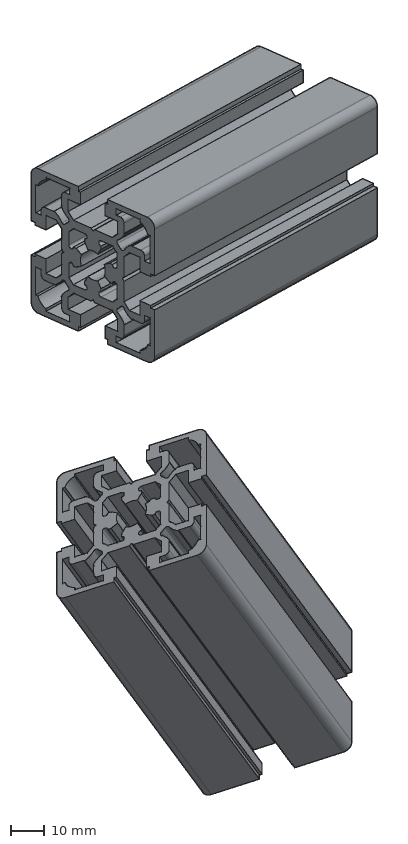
import cadquery as cq
import math

SIDE = 50.0
LENGTH = 100.0
CORNER_RADIUS = 3.0
HALF = SIDE / 2

COS_45 = math.sqrt(0.5)

SLOT_MOUTH_HALF = 5.9
SLOT_MOUTH_DEPTH = 1.6
NECK_HALF = 5.0
LIP_DEPTH = 6.0
GROOVE_HALF = 10.0
FLOOR_HEIGHT = 12.6
GROOVE_CHAMFER = 2.2
NOTCH_DEPTH = 0.7

CORE_HALF = 9.7
CORE_CHAMFER = 1.8
BORE_RADIUS = 5.0
LUG_TIP_HALF = 2.0
LUG_HALF = 3.3
LUG_SHOULDER_HEIGHT = 6.8
RELIEF_RADIUS = 0.9

WALL = 1.9
LIP_ROOT_HALF = 9.4
LIP_ROOT_HEIGHT = 20.9
GROOVE_WALL = 2.6
SHOULDER_RADIUS = 1.5
FILLING_EDGE = 19.0
FILLING_STEP = 0.9
FILLING_RADIUS = 5.0

CHANNEL_MOUTH_PLACE = 20.1
CHANNEL_MOUTH_HALF_WIDTH = 2.0
CREST_PLACE = 17.6
CREST_HALF_WIDTH = 1.6
CHANNEL_FLOOR_HALF_WIDTH = 1.8
CHANNEL_FLOOR_PLACE = 15.0
CHANNEL_FLOOR_FILLET = 0.8


def spin(solid, count=4):
    """Return copies of a solid turned evenly about the profile axis."""
    return [solid.rotate((0, 0, 0), (0, 1, 0), i * 360 / count) for i in range(count)]


def sketch_plane():
    """Plane with local x along X and local y along Z; extrusions run toward -Y."""
    return cq.Workplane("XZ", origin=(0, LENGTH / 2, 0))


def make_bar():
    """Solid square bar with rounded long edges."""
    return sketch_plane().rect(SIDE, SIDE).extrude(LENGTH).edges("|Y").fillet(CORNER_RADIUS)


def make_slot():
    """Cutter for the T-slot in the +Z side, with a V notch along its floor."""
    half_outline = [
        (SLOT_MOUTH_HALF, HALF),
        (SLOT_MOUTH_HALF, HALF - SLOT_MOUTH_DEPTH),
        (NECK_HALF, HALF - SLOT_MOUTH_DEPTH),
        (NECK_HALF, HALF - LIP_DEPTH),
        (GROOVE_HALF, HALF - LIP_DEPTH),
        (GROOVE_HALF, FLOOR_HEIGHT + GROOVE_CHAMFER),
        (GROOVE_HALF - GROOVE_CHAMFER, FLOOR_HEIGHT),
        (NOTCH_DEPTH, FLOOR_HEIGHT),
    ]
    mirrored = [(-x, z) for x, z in reversed(half_outline)]
    outline = half_outline + [(0, FLOOR_HEIGHT - NOTCH_DEPTH)] + mirrored
    return sketch_plane().polyline(outline).close().extrude(LENGTH)


def make_lug():
    """Screw lug hanging from the +Z wall of the core, ending on the bore circle."""
    tip_height = math.sqrt(BORE_RADIUS**2 - LUG_TIP_HALF**2)
    relief_height = CORE_HALF - RELIEF_RADIUS
    relief_bottom = CORE_HALF - 2 * RELIEF_RADIUS
    relief_inner = LUG_HALF - RELIEF_RADIUS
    return (
        sketch_plane()
        .moveTo(-LUG_HALF, CORE_HALF)
        .threePointArc((-relief_inner, relief_height), (-LUG_HALF, relief_bottom))
        .lineTo(-LUG_HALF, LUG_SHOULDER_HEIGHT)
        .lineTo(-LUG_TIP_HALF, tip_height)
        .threePointArc((0, BORE_RADIUS), (LUG_TIP_HALF, tip_height))
        .lineTo(LUG_HALF, LUG_SHOULDER_HEIGHT)
        .lineTo(LUG_HALF, relief_bottom)
        .threePointArc((relief_inner, relief_height), (LUG_HALF, CORE_HALF))
        .close()
        .extrude(LENGTH)
    )


def make_core():
    """Cutter for the chamfered square core, leaving the four lugs standing."""
    core = sketch_plane().rect(2 * CORE_HALF, 2 * CORE_HALF).extrude(LENGTH)
    core = core.edges("|Y").chamfer(CORE_CHAMFER)
    for lug in spin(make_lug()):
        core = core.cut(lug)
    return core


def beside_diagonal(place, half_width):
    """Point half_width to the +Z side of the diagonal, at a distance place along it."""
    return ((place - half_width) * COS_45, (place + half_width) * COS_45)


def swap(point):
    """Mirror a point in the diagonal."""
    return (point[1], point[0])


def make_chamber():
    """Cutter for the hollow in the +X +Z corner, symmetric about the diagonal."""
    inner = HALF - WALL
    shelf = GROOVE_HALF + GROOVE_WALL
    filling_end = inner - FILLING_STEP
    bend = SHOULDER_RADIUS * (1 - COS_45)
    mouth = beside_diagonal(CHANNEL_MOUTH_PLACE, CHANNEL_MOUTH_HALF_WIDTH)
    lip_start = sum(mouth) - shelf
    crest = beside_diagonal(CREST_PLACE, CREST_HALF_WIDTH)
    fillet_bend = CHANNEL_FLOOR_FILLET * (1 - COS_45)
    fillet_start = beside_diagonal(CHANNEL_FLOOR_PLACE + CHANNEL_FLOOR_FILLET, CHANNEL_FLOOR_HALF_WIDTH)
    fillet_middle = beside_diagonal(CHANNEL_FLOOR_PLACE + fillet_bend, CHANNEL_FLOOR_HALF_WIDTH - fillet_bend)
    fillet_end = beside_diagonal(CHANNEL_FLOOR_PLACE, CHANNEL_FLOOR_HALF_WIDTH - CHANNEL_FLOOR_FILLET)
    return (
        sketch_plane()
        .moveTo(FILLING_EDGE, inner)
        .lineTo(LIP_ROOT_HALF, inner)
        .lineTo(LIP_ROOT_HALF, LIP_ROOT_HEIGHT)
        .lineTo(shelf - SHOULDER_RADIUS, LIP_ROOT_HEIGHT)
        .threePointArc((shelf - bend, LIP_ROOT_HEIGHT - bend), (shelf, LIP_ROOT_HEIGHT - SHOULDER_RADIUS))
        .lineTo(shelf, lip_start)
        .lineTo(*mouth)
        .threePointArc(crest, fillet_start)
        .threePointArc(fillet_middle, fillet_end)
        .lineTo(*swap(fillet_end))
        .threePointArc(swap(fillet_middle), swap(fillet_start))
        .threePointArc(swap(crest), swap(mouth))
        .lineTo(lip_start, shelf)
        .lineTo(LIP_ROOT_HEIGHT - SHOULDER_RADIUS, shelf)
        .threePointArc((LIP_ROOT_HEIGHT - bend, shelf - bend), (LIP_ROOT_HEIGHT, shelf - SHOULDER_RADIUS))
        .lineTo(LIP_ROOT_HEIGHT, LIP_ROOT_HALF)
        .lineTo(inner, LIP_ROOT_HALF)
        .lineTo(inner, FILLING_EDGE)
        .lineTo(filling_end, FILLING_EDGE)
        .radiusArc((FILLING_EDGE, filling_end), -FILLING_RADIUS)
        .close()
        .extrude(LENGTH)
    )


bar = make_bar().cut(make_core())
for cutter in spin(make_slot()) + spin(make_chamber()):
    bar = bar.cut(cutter)

result = bar